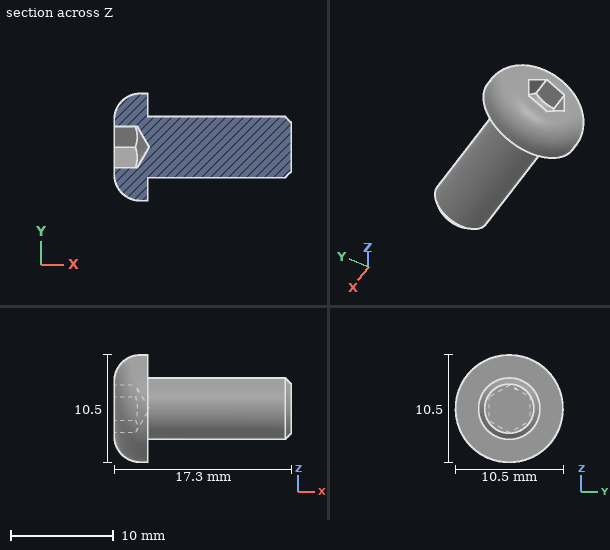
import cadquery as cq
import math

shank_diameter = 6.0
shank_length = 14.0
tip_chamfer = 0.6

head_diameter = 10.5
head_height = 3.3
rim_width = 0.73

socket_across_flats = 4.0
socket_depth = 2.08
socket_tip_angle = 120.0

head_radius = head_diameter / 2
shank_radius = shank_diameter / 2
head_face_x = -head_height
dome_radius = head_height - rim_width


def make_body():
    """Revolve the half profile of head and shank about the X axis."""
    arc_offset = dome_radius * math.sqrt(0.5)
    dome_middle = (-rim_width - arc_offset, head_radius - dome_radius + arc_offset)
    return (
        cq.Workplane("XZ")
        .moveTo(head_face_x, 0)
        .lineTo(head_face_x, head_radius - dome_radius)
        .threePointArc(dome_middle, (-rim_width, head_radius))
        .lineTo(0, head_radius)
        .lineTo(0, shank_radius)
        .lineTo(shank_length - tip_chamfer, shank_radius)
        .lineTo(shank_length, shank_radius - tip_chamfer)
        .lineTo(shank_length, 0)
        .close()
        .revolve(360, (0, 0, 0), (1, 0, 0))
    )


def make_socket():
    """Hexagonal recess, flats facing +Y and -Y, whose walls run down to a conical bottom."""
    corner_radius = socket_across_flats / math.sqrt(3)
    cone_height = corner_radius / math.tan(math.radians(socket_tip_angle / 2))
    cone_base_x = head_face_x + socket_depth
    tip_x = cone_base_x + cone_height

    corners = []
    for i in range(6):
        angle = math.radians(90 + 60 * i)
        corners.append((corner_radius * math.cos(angle), corner_radius * math.sin(angle)))
    hexagon = (
        cq.Workplane("YZ", origin=(head_face_x, 0, 0))
        .polyline(corners)
        .close()
        .extrude(tip_x - head_face_x)
    )

    pointed_bore = (
        cq.Workplane("XZ")
        .moveTo(head_face_x, 0)
        .lineTo(head_face_x, corner_radius)
        .lineTo(cone_base_x, corner_radius)
        .lineTo(tip_x, 0)
        .close()
        .revolve(360, (0, 0, 0), (1, 0, 0))
    )
    return hexagon.intersect(pointed_bore)


result = make_body().cut(make_socket())